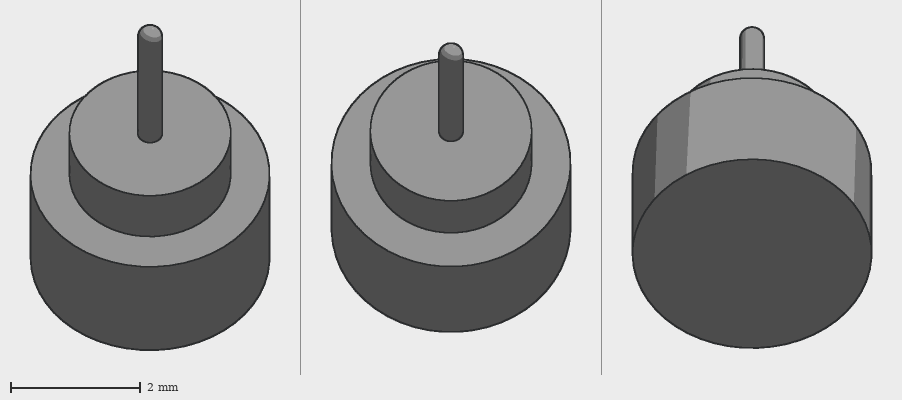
import cadquery as cq

total_height = 5.6
body_diameter = 3.7
body_height = 2.05
collar_diameter = 2.5
collar_height = 1.0
pin_diameter = 0.38

collar_top = body_height + collar_height
pin_radius = pin_diameter / 2
dome_start = total_height - pin_radius

body = cq.Workplane("XY").circle(body_diameter / 2).extrude(body_height)
collar = (
    cq.Workplane("XY", origin=(0, 0, body_height))
    .circle(collar_diameter / 2)
    .extrude(collar_height)
)

pin = (
    cq.Workplane("XZ")
    .moveTo(0, collar_top)
    .lineTo(pin_radius, collar_top)
    .lineTo(pin_radius, dome_start)
    .radiusArc((0, total_height), -pin_radius)
    .close()
    .revolve(360, (0, 0, 0), (0, 1, 0))
)

result = body.union(collar).union(pin)